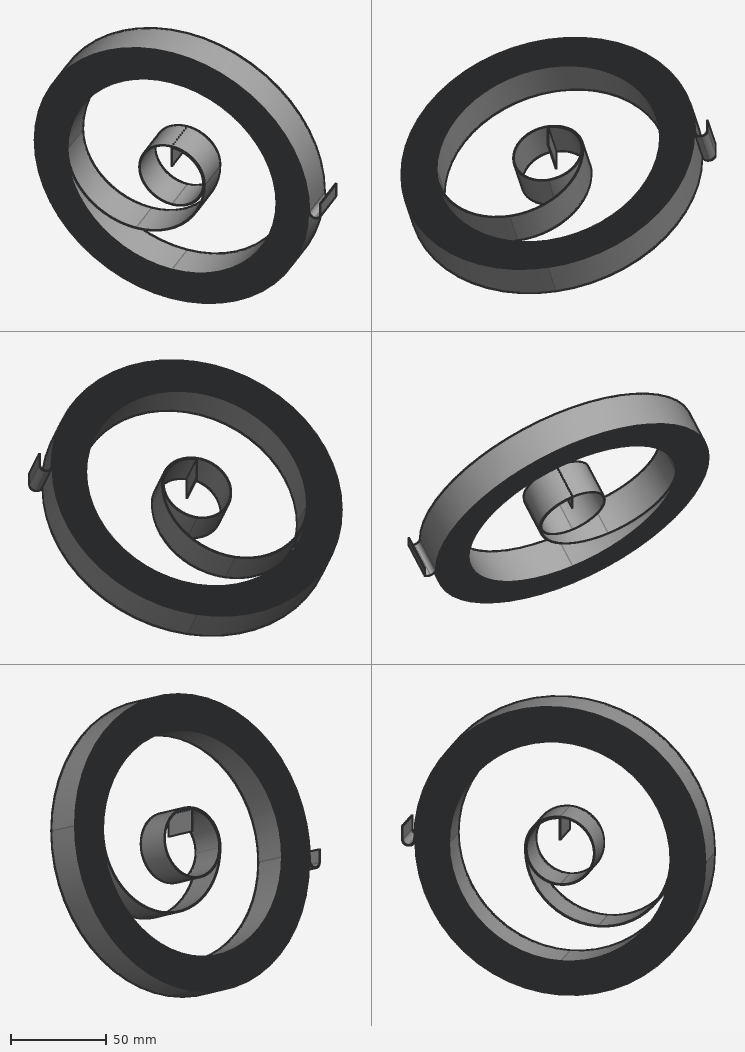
import cadquery as cq
import math

strip_width = 20.0
winding_pitch = 0.6
coil_clearance = 0.01
strip_thickness = winding_pitch - coil_clearance
half_pitch = winding_pitch / 2

hub_radius = 18.0
hub_outer_radius = hub_radius + winding_pitch
tab_end_height = 6.3

ring_start_radius = 59.95
full_turns = 31

hook_inner_radius = 3.0
hook_leg_length = 7.0

QUARTER_TURN = -math.pi / 2
HALF_TURN = -math.pi


def rotate(point, center, angle):
    """Turn an (x, z) point about a center; a positive angle turns +X toward +Z."""
    dx = point[0] - center[0]
    dz = point[1] - center[1]
    return (
        center[0] + dx * math.cos(angle) - dz * math.sin(angle),
        center[1] + dx * math.sin(angle) + dz * math.cos(angle),
    )


def to_3d(point):
    return cq.Vector(point[0], 0, point[1])


def line(start, end):
    return cq.Edge.makeLine(to_3d(start), to_3d(end))


def hub_arcs():
    """Right half, wider left half, then a quarter lying over the start of the loop."""
    return [
        ((0, 0), HALF_TURN),
        ((0, half_pitch), HALF_TURN),
        ((0, 0), QUARTER_TURN),
    ]


def transition_arcs():
    """Two quarters sweeping from the hub's +X side to the ring's -X side."""
    center = ((hub_outer_radius - ring_start_radius) / 2, 0)
    return [(center, QUARTER_TURN), (center, QUARTER_TURN)]


def ring_arcs():
    """Half turns about two centers, so the radius grows by one pitch per turn.

    The centers sit a quarter pitch either side of the axis; each lower half is two quarter arcs.
    """
    upper_center = (half_pitch / 2, 0)
    lower_center = (-half_pitch / 2, 0)
    arcs = []
    for _ in range(full_turns):
        arcs.append((upper_center, HALF_TURN))
        arcs.append((lower_center, QUARTER_TURN))
        arcs.append((lower_center, QUARTER_TURN))
    arcs.append((upper_center, HALF_TURN))
    return arcs


def hook_arcs():
    """Two quarters turning the other way, outside the ring."""
    ring_end_x = ring_start_radius + full_turns * winding_pitch + half_pitch + strip_thickness
    center = (ring_end_x + hook_inner_radius, 0)
    return [(center, -QUARTER_TURN), (center, -QUARTER_TURN)]


def strip_side(start, arcs):
    """Edges of one side of the strip, from `start` through all arcs, and the end point."""
    edges = []
    for center, sweep in arcs:
        middle = rotate(start, center, sweep / 2)
        end = rotate(start, center, sweep)
        edges.append(cq.Edge.makeThreePointArc(to_3d(start), to_3d(middle), to_3d(end)))
        start = end
    return edges, start


def strip_profile():
    """Closed outline of the strip without the tab: inner cap, both sides and the hook's straight leg."""
    arcs = hub_arcs() + transition_arcs() + ring_arcs() + hook_arcs()
    inner_start = (0, hub_radius)
    outer_start = (0, hub_radius + strip_thickness)
    inner_cap = [line(outer_start, inner_start)]
    inner_side, inner_end = strip_side(inner_start, arcs)
    outer_side, outer_end = strip_side(outer_start, arcs)

    inner_tip = (inner_end[0], hook_leg_length)
    outer_tip = (outer_end[0], hook_leg_length)
    leg = [
        line(inner_end, inner_tip),
        line(inner_tip, outer_tip),
        line(outer_tip, outer_end),
    ]
    return cq.Wire.assembleEdges(inner_cap + inner_side + leg + outer_side[::-1])


def coil():
    profile = cq.Face.makeFromWires(strip_profile())
    return cq.Solid.extrudeLinear(profile, cq.Vector(0, strip_width, 0))


def tab():
    """Straight end of the strip, hanging from the start of the hub loop just clear of the coil above."""
    tab_top = hub_radius + strip_thickness - coil_clearance
    tab_height = tab_top - tab_end_height
    corner = cq.Vector(-strip_thickness / 2, 0, tab_end_height)
    return cq.Solid.makeBox(strip_thickness, strip_width, tab_height, corner)


result = cq.Workplane(obj=coil()).union(cq.Workplane(obj=tab()), clean=False)